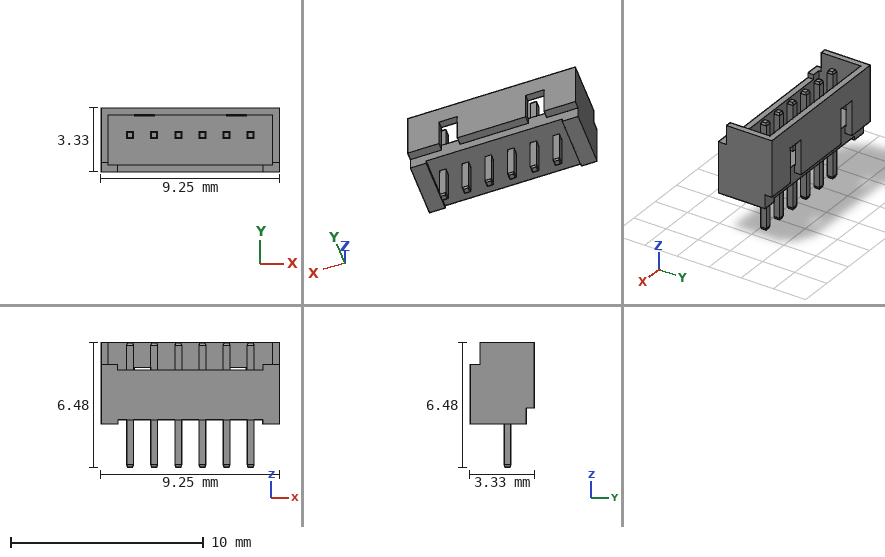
import cadquery as cq


length = 9.25
depth = 3.33
height = 4.23
pin_row_to_back = 1.40
back_y = pin_row_to_back
front_y = back_y - depth

wall = 0.36
floor_z = 1.30

shoulder_z = height - 1.14
shoulder_depth = 0.50
front_opening_length = 7.55
front_opening_z = height - 1.42

relief_length = 7.50
relief_height = 0.22

step_depth = 0.42
step_height = 0.83

window_width = 1.01
window_offset = 2.39
window_top_z = height - 1.30

pin_count = 6
pin_pitch = 1.25
pin_size = 0.36
pin_top_z = height - 0.02
total_height = 6.48
pin_bottom_z = height - total_height
tip_length = 0.14
tip_inset = 0.05


def block(x_size, y_range, z_range):
    """Box centred on X = 0 that spans the given Y and Z ranges."""
    y_min, y_max = y_range
    z_min, z_max = z_range
    box = cq.Workplane("XY").box(x_size, y_max - y_min, z_max - z_min, centered=(True, False, False))
    return box.translate((0, y_min, z_min))


def make_shell():
    """Open-topped housing with its stepped front wall and relieved underside."""
    shell = block(length, (front_y, back_y), (0, height))
    cavity = block(length - 2 * wall, (front_y + wall, back_y - wall), (floor_z, height))
    shoulders = block(length, (front_y, front_y + shoulder_depth), (shoulder_z, height))
    front_opening = block(front_opening_length, (front_y, front_y + wall), (front_opening_z, height))
    relief = block(relief_length, (front_y, back_y), (0, relief_height))
    back_step = block(length, (back_y - step_depth, back_y), (0, step_height))
    for cutter in (cavity, shoulders, front_opening, relief, back_step):
        shell = shell.cut(cutter)
    return shell


def cut_windows(shell):
    """Cut the two windows from the back step up through the back wall."""
    window = block(window_width, (back_y - step_depth, back_y), (step_height, window_top_z))
    for side in (-1, 1):
        shell = shell.cut(window.translate((side * window_offset, 0, 0)))
    return shell


def make_pin():
    """Square pin with a tapered tip at each end."""
    tip_size = pin_size - 2 * tip_inset
    shank_bottom_z = pin_bottom_z + tip_length
    shank_top_z = pin_top_z - tip_length
    half_pin = pin_size / 2
    shank = block(pin_size, (-half_pin, half_pin), (shank_bottom_z, shank_top_z))
    for direction, shank_end_z in ((-1, shank_bottom_z), (1, shank_top_z)):
        tip = (
            cq.Workplane("XY", origin=(0, 0, shank_end_z))
            .rect(pin_size, pin_size)
            .workplane(offset=direction * tip_length)
            .rect(tip_size, tip_size)
            .loft()
        )
        shank = shank.union(tip)
    return shank


def add_pins(housing):
    """Fuse the evenly spaced row of pins into the housing floor."""
    pin = make_pin()
    first_x = -pin_pitch * (pin_count - 1) / 2
    for index in range(pin_count):
        housing = housing.union(pin.translate((first_x + index * pin_pitch, 0, 0)))
    return housing


result = add_pins(cut_windows(make_shell()))